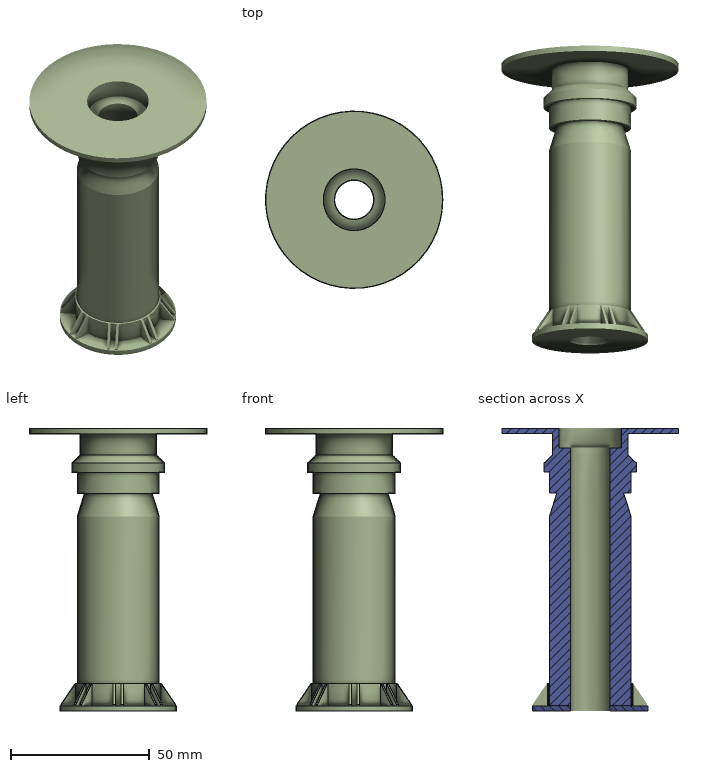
import cadquery as cq

TOTAL_HEIGHT = 101.8
BORE_DIAMETER = 14.0

PLATE_DIAMETER = 63.8
PLATE_THICKNESS = 1.9
NECK_DIAMETER = 27.5
COLLAR_DIAMETER = 33.5
COLLAR_CONE_TOP_Z = 92.1
COLLAR_CONE_BOTTOM_Z = 89.2
COLLAR_BOTTOM_Z = 85.9
TUBE_DIAMETER = 29.5
SHOULDER_BOTTOM_Z = 78.3
WAIST_DIAMETER = 24.2
WAIST_BULGE = 0.1
TUBE_TOP_Z = 70.0
COUNTERBORE_DIAMETER = 22.2
COUNTERBORE_DEPTH = 7.0

FLANGE_DIAMETER = 41.8
FLANGE_THICKNESS = 1.9
SOCKET_DIAMETER = 30.8
SOCKET_BORE_DIAMETER = 29.8
SOCKET_TOP_Z = 10.0
RIB_TOP_RADIUS = 15.5
RIB_FOOT_RADIUS = 20.6
RIB_FOOT_Z = 2.4
RIB_THICKNESS = 0.9
RIB_PAIR_WIDTH = 3.9
RIB_PAIR_COUNT = 8


def make_disc(diameter, bottom_z, top_z):
    """Upright cylinder on the Z axis."""
    base = cq.Workplane("XY", origin=(0, 0, bottom_z))
    return base.circle(diameter / 2).extrude(top_z - bottom_z)


def make_leg():
    """Plate, collar and tube turned as one piece, standing on the floor of the foot."""
    bore_radius = BORE_DIAMETER / 2
    counterbore_radius = COUNTERBORE_DIAMETER / 2
    neck_radius = NECK_DIAMETER / 2
    collar_radius = COLLAR_DIAMETER / 2
    plate_radius = PLATE_DIAMETER / 2
    tube_radius = TUBE_DIAMETER / 2
    waist_radius = WAIST_DIAMETER / 2
    plate_bottom_z = TOTAL_HEIGHT - PLATE_THICKNESS
    counterbore_floor_z = TOTAL_HEIGHT - COUNTERBORE_DEPTH
    waist_middle = (
        (waist_radius + tube_radius) / 2 + WAIST_BULGE,
        (SHOULDER_BOTTOM_Z + TUBE_TOP_Z) / 2,
    )
    half_section = (
        cq.Workplane("XZ")
        .moveTo(bore_radius, FLANGE_THICKNESS)
        .lineTo(tube_radius, FLANGE_THICKNESS)
        .lineTo(tube_radius, TUBE_TOP_Z)
        .threePointArc(waist_middle, (waist_radius, SHOULDER_BOTTOM_Z))
        .lineTo(tube_radius, SHOULDER_BOTTOM_Z)
        .lineTo(tube_radius, COLLAR_BOTTOM_Z)
        .lineTo(collar_radius, COLLAR_BOTTOM_Z)
        .lineTo(collar_radius, COLLAR_CONE_BOTTOM_Z)
        .lineTo(neck_radius, COLLAR_CONE_TOP_Z)
        .lineTo(neck_radius, plate_bottom_z)
        .lineTo(plate_radius, plate_bottom_z)
        .lineTo(plate_radius, TOTAL_HEIGHT)
        .lineTo(counterbore_radius, TOTAL_HEIGHT)
        .lineTo(counterbore_radius, counterbore_floor_z)
        .lineTo(bore_radius, counterbore_floor_z)
        .close()
    )
    return half_section.revolve(360, (0, 0, 0), (0, 1, 0))


def make_rib(offset):
    """One sloping rib along +X, its middle plane at Y = offset, ending in a short upright edge."""
    root_radius = SOCKET_BORE_DIAMETER / 2
    return (
        cq.Workplane("XZ", origin=(0, offset, 0))
        .moveTo(root_radius, 0)
        .lineTo(RIB_FOOT_RADIUS, 0)
        .lineTo(RIB_FOOT_RADIUS, RIB_FOOT_Z)
        .lineTo(RIB_TOP_RADIUS, SOCKET_TOP_Z)
        .lineTo(root_radius, SOCKET_TOP_Z)
        .close()
        .extrude(RIB_THICKNESS / 2, both=True)
    )


def make_foot():
    """Flanged socket with pairs of ribs; the tube stands on its floor with a thin gap around it."""
    flange = make_disc(FLANGE_DIAMETER, 0, FLANGE_THICKNESS)
    body = flange.union(make_disc(SOCKET_DIAMETER, 0, SOCKET_TOP_Z))

    rib_offset = (RIB_PAIR_WIDTH - RIB_THICKNESS) / 2
    rib_pair = make_rib(rib_offset).union(make_rib(-rib_offset))
    for index in range(RIB_PAIR_COUNT):
        angle = index * 360 / RIB_PAIR_COUNT
        body = body.union(rib_pair.rotate((0, 0, 0), (0, 0, 1), angle))

    socket = make_disc(SOCKET_BORE_DIAMETER, FLANGE_THICKNESS, SOCKET_TOP_Z)
    bore = make_disc(BORE_DIAMETER, 0, SOCKET_TOP_Z)
    return body.cut(socket).cut(bore).solids()


leg = make_leg()
foot = make_foot()

result = cq.Compound.makeCompound([leg.val(), foot.val()])